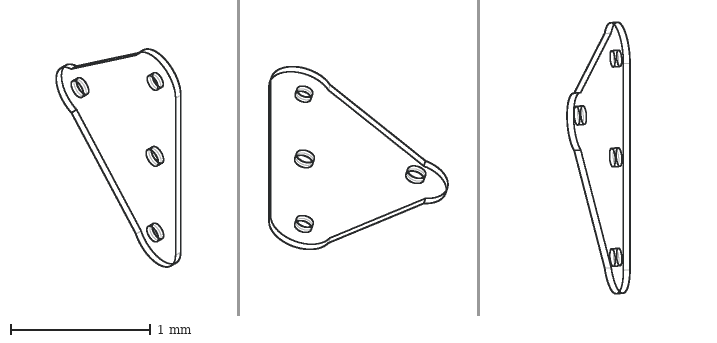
import cadquery as cq
import math

width = 1.32
height = 2.01
thickness = 0.05

end_radius = 0.233
nose_radius = 0.221
nose_z = 0.022

right_x = width / 2
end_x = right_x - end_radius
end_z = height / 2 - end_radius
nose_x = -width / 2 + nose_radius

slant_end_x = 0.22
slant_nose_x = -0.492
slant_end_rise = math.sqrt(end_radius**2 - (end_x - slant_end_x) ** 2)
slant_end_z = end_z + slant_end_rise
slant_nose_rise = math.sqrt(nose_radius**2 - (slant_nose_x - nose_x) ** 2)

holes = [
    (0.406, 0.738, 0.119),
    (0.402, -0.002, 0.135),
    (0.406, -0.748, 0.127),
    (-0.426, 0.086, 0.135),
]


def make_plate():
    """Triangular plate whose three corners are circular lobes."""
    return (
        cq.Workplane("XZ")
        .moveTo(right_x, -end_z)
        .lineTo(right_x, end_z)
        .threePointArc((end_x, height / 2), (slant_end_x, slant_end_z))
        .lineTo(slant_nose_x, nose_z + slant_nose_rise)
        .threePointArc((-width / 2, nose_z), (slant_nose_x, nose_z - slant_nose_rise))
        .lineTo(slant_end_x, -slant_end_z)
        .threePointArc((end_x, -height / 2), (right_x, -end_z))
        .close()
        .extrude(thickness / 2, both=True)
    )


def make_hole(x, z, diameter):
    """Cylinder that passes through the plate along Y."""
    return (
        cq.Workplane("XZ")
        .center(x, z)
        .circle(diameter / 2)
        .extrude(thickness, both=True)
    )


result = make_plate()
for hole_x, hole_z, hole_diameter in holes:
    result = result.cut(make_hole(hole_x, hole_z, hole_diameter))